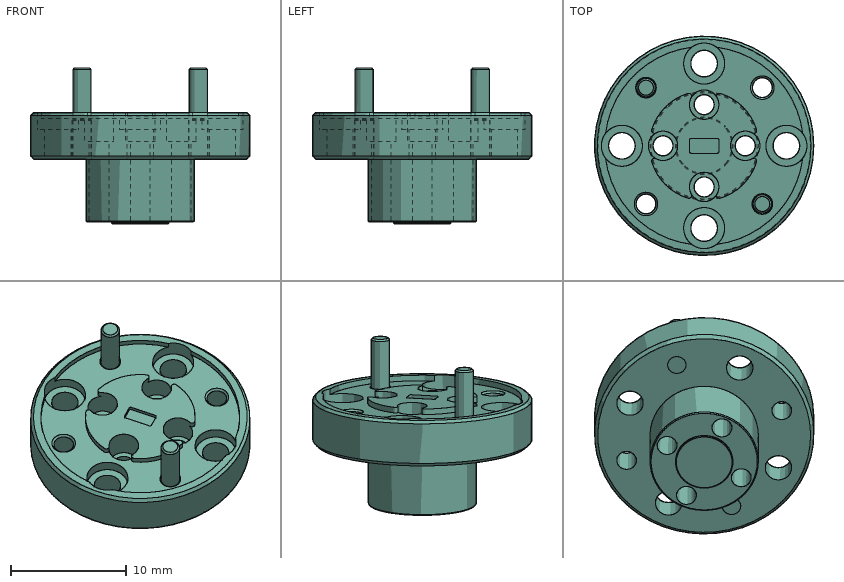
import cadquery as cq
import math

flange_diameter = 19.05
flange_height = 4.05
flange_top_chamfer = 0.25
flange_bottom_chamfer = 0.29

barrel_diameter = 9.41
barrel_length = 5.45
barrel_chamfer = 0.1
pad_diameter = 5.0
pad_height = 0.15
pad_chamfer = 0.08

recess_diameter = 17.25
recess_depth = 0.5
boss_diameter = 9.52
boss_corner_radius = 0.25

opening_length = 2.55
opening_width = 1.3
opening_depth = 0.3
opening_corner_radius = 0.15

outer_circle_radius = 7.15
coupling_hole_diameter = 2.29
coupling_bore_diameter = 3.56
coupling_bore_depth = recess_depth + 1.0

inner_circle_radius = outer_circle_radius / 2
screw_hole_diameter = 1.71
screw_bore_diameter = 2.55
screw_bore_depth = recess_depth + 2.0

pin_diameter = 1.6
pin_projection = 3.89
pin_chamfer = 0.15
pin_hole_chamfer = 0.1
dowel_hole_diameter = 1.7
dowel_hole_chamfer = 0.17
pin_angles = (135, 315)
dowel_hole_angles = (45, 225)
axis_angles = (0, 90, 180, 270)

recess_floor = -recess_depth
flange_bottom = -flange_height
barrel_bottom = flange_bottom - barrel_length
pad_bottom = barrel_bottom - pad_height


def points_on_circle(radius, angles):
    return [
        (radius * math.cos(math.radians(angle)), radius * math.sin(math.radians(angle)))
        for angle in angles
    ]


def cylinders(diameter, bottom, top, centers=((0, 0),)):
    plane = cq.Workplane("XY", origin=(0, 0, bottom))
    return plane.pushPoints(centers).circle(diameter / 2).extrude(top - bottom)


def countersinks(hole_diameter, chamfer, top, centers):
    """Cones that chamfer the rims of holes opening at the level `top`."""
    cone = cq.Solid.makeCone(hole_diameter / 2, hole_diameter / 2 + chamfer, chamfer)
    plane = cq.Workplane("XY", origin=(0, 0, top - chamfer)).pushPoints(centers)
    return plane.eachpoint(lambda place: cone.located(place))


axis_centers = points_on_circle(outer_circle_radius, axis_angles)
screw_centers = points_on_circle(inner_circle_radius, axis_angles)
pin_centers = points_on_circle(outer_circle_radius, pin_angles)
dowel_hole_centers = points_on_circle(outer_circle_radius, dowel_hole_angles)


def make_outside():
    flange = cylinders(flange_diameter, flange_bottom, 0)
    flange = flange.faces(">Z").chamfer(flange_top_chamfer)
    flange = flange.faces("<Z").chamfer(flange_bottom_chamfer)
    barrel = cylinders(barrel_diameter, barrel_bottom, flange_bottom)
    barrel = barrel.faces("<Z").chamfer(barrel_chamfer)
    pad = cylinders(pad_diameter, pad_bottom, barrel_bottom)
    pad = pad.faces("<Z").chamfer(pad_chamfer)
    return flange.union(barrel).union(pad)


def make_recess():
    """Space between the rim and the boss, whose corners beside the screw bores are rounded."""
    boss = cylinders(boss_diameter, recess_floor, 0)
    boss = boss.cut(cylinders(screw_bore_diameter, recess_floor, 0, screw_centers))
    corner_edges = [
        edge for edge in boss.edges("|Z").vals()
        if math.hypot(edge.Center().x, edge.Center().y) > inner_circle_radius
    ]
    boss = boss.newObject(corner_edges).fillet(boss_corner_radius)
    return cylinders(recess_diameter, recess_floor, 0).cut(boss)


def make_opening():
    opening = cq.Workplane("XY").rect(opening_length, opening_width).extrude(-opening_depth)
    return opening.edges("|Z").fillet(opening_corner_radius)


def make_housing():
    housing = make_outside().cut(make_recess()).cut(make_opening())

    housing = housing.cut(cylinders(coupling_hole_diameter, flange_bottom, 0, axis_centers))
    housing = housing.cut(cylinders(coupling_bore_diameter, -coupling_bore_depth, 0, axis_centers))

    housing = housing.cut(cylinders(screw_hole_diameter, barrel_bottom, 0, screw_centers))
    housing = housing.cut(cylinders(screw_bore_diameter, -screw_bore_depth, 0, screw_centers))

    for diameter, chamfer, centers in (
        (dowel_hole_diameter, dowel_hole_chamfer, dowel_hole_centers),
        (pin_diameter, pin_hole_chamfer, pin_centers),
    ):
        housing = housing.cut(cylinders(diameter, flange_bottom, 0, centers))
        housing = housing.cut(countersinks(diameter, chamfer, recess_floor, centers))
    return housing


def make_pin(center):
    pin = cylinders(pin_diameter, flange_bottom, pin_projection, [center])
    return pin.faces(">Z").chamfer(pin_chamfer)


housing = make_housing()
pins = [make_pin(center) for center in pin_centers]

result = cq.Compound.makeCompound([housing.val(), *[pin.val() for pin in pins]])